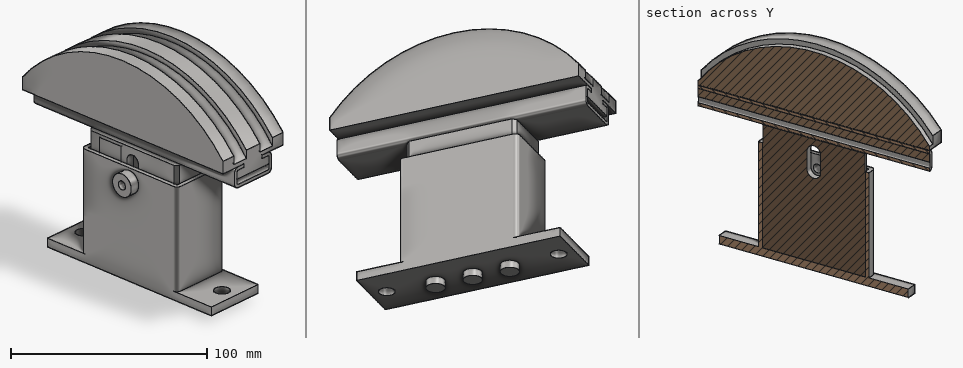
import cadquery as cq
import math


foot_length = 114.4
foot_thickness = 5.0
foot_hole_diameter = 8.5
foot_hole_spacing = 96.6
wall = 2.5
cavity_length = 61.9
cavity_width = 30.0
housing_length = cavity_length + 2 * wall
housing_width = cavity_width + 2 * wall
housing_top = 64.8

peg_diameter = 10.0
peg_height = 4.0
peg_pitch = 20.9
peg_count = 3

boss_diameter = 13.0
boss_hole_diameter = 4.9
boss_height = 56.8
boss_past_shoe = 0.5

plunger_top = 75.2
plunger_chamfer = 2.0
slot_width = 8.0
slot_depth = 5.0
slot_top = 71.1

plate_width = 15.3
plate_height = plate_width
plate_thickness = 1.0
plate_center_x = -15.7
plate_top_margin = 1.8
plate_top = plunger_top - plate_top_margin

rail_width = 27.7
rail_height = 12.0
rail_wall = 2.0
rail_outer_radius = 3.0
rail_inner_radius = rail_outer_radius - rail_wall
rail_opening = 13.6
rail_top = plunger_top + rail_height

shoe_length = 140
shoe_width = 45.0
shoe_height = 40.6
shoe_radius = 90.0
groove_depth = 3.0
groove_inner_edge = 5.0
groove_outer_edge = 14.4
tee_depth = 6.9
shoe_top = rail_top + shoe_height
arc_center_z = shoe_top - shoe_radius

housing_front = -housing_width / 2
plunger_front = -cavity_width / 2
boss_front = -shoe_width / 2 - boss_past_shoe


def box(length, width, bottom, top):
    """Box centred on the Z axis between two heights."""
    return cq.Workplane("XY").workplane(offset=bottom).rect(length, width).extrude(top - bottom)


def make_housing():
    tower = box(housing_length, housing_width, foot_thickness, housing_top).edges("|Z").fillet(wall)
    foot = box(foot_length, housing_width, 0, foot_thickness)
    foot_holes = (
        cq.Workplane("XY")
        .pushPoints([(-foot_hole_spacing / 2, 0), (foot_hole_spacing / 2, 0)])
        .circle(foot_hole_diameter / 2)
        .extrude(foot_thickness)
    )
    pegs = (
        cq.Workplane("XY")
        .rarray(peg_pitch, 1.4, peg_count, 1)
        .circle(peg_diameter / 2)
        .extrude(-peg_height)
    )
    boss_plane = cq.Workplane("XZ", origin=(0, boss_front, boss_height))
    boss = boss_plane.circle(boss_diameter / 2).extrude(boss_front - housing_front)
    boss_hole = boss_plane.circle(boss_hole_diameter / 2).extrude(boss_front - plunger_front)
    cavity = box(cavity_length, cavity_width, foot_thickness, housing_top)
    return tower.union(foot).union(pegs).union(boss).cut(foot_holes).cut(cavity).cut(boss_hole)


def make_scale_plate():
    return cq.Workplane("XY").box(plate_width, plate_thickness, plate_height).translate(
        (plate_center_x, plunger_front + plate_thickness / 2, plate_top - plate_height / 2)
    )


def make_plunger(scale_plate):
    block = box(cavity_length, cavity_width, foot_thickness, plunger_top)
    block = block.edges("|Z").chamfer(plunger_chamfer)
    slot_bottom = boss_height - slot_width / 2
    slot = (
        cq.Workplane("XZ", origin=(0, plunger_front, (slot_top + slot_bottom) / 2))
        .slot2D(slot_top - slot_bottom, slot_width, 90)
        .extrude(-slot_depth)
    )
    return block.cut(slot).cut(scale_plate)


def along_shoe(width, bottom, top):
    """Bar of the full shoe length, centred on Y = 0."""
    return box(shoe_length, width, bottom, top)


def make_rail_bore():
    bore_width = rail_width - 2 * rail_wall
    bore = along_shoe(bore_width, plunger_top + rail_wall, rail_top - rail_wall)
    return bore.edges("|X").fillet(rail_inner_radius)


def make_rail():
    tube = along_shoe(rail_width, plunger_top, rail_top).edges("|X").fillet(rail_outer_radius)
    opening = along_shoe(rail_opening, rail_top - rail_wall, rail_top)
    return tube.cut(make_rail_bore()).cut(opening)


def make_dome(radius, width, center_y):
    """Segment of a disc with its ends cut square at the shoe length."""
    half_length = shoe_length / 2
    end_z = arc_center_z + math.sqrt(radius**2 - half_length**2)
    return (
        cq.Workplane("XZ", origin=(0, center_y + width / 2, 0))
        .moveTo(-half_length, rail_top)
        .lineTo(-half_length, end_z)
        .threePointArc((0, arc_center_z + radius), (half_length, end_z))
        .lineTo(half_length, rail_top)
        .close()
        .extrude(width)
    )


def make_shoe():
    shoe = make_dome(shoe_radius, shoe_width, 0)
    groove_width = groove_outer_edge - groove_inner_edge
    groove_offset = (groove_outer_edge + groove_inner_edge) / 2
    for center_y in (-groove_offset, groove_offset):
        outer = make_dome(shoe_radius, groove_width, center_y)
        floor = make_dome(shoe_radius - groove_depth, groove_width, center_y)
        shoe = shoe.cut(outer.cut(floor))
    neck = along_shoe(rail_opening, rail_top - tee_depth, rail_top)
    tee = make_rail_bore().intersect(along_shoe(rail_width, rail_top - tee_depth, rail_top))
    return shoe.union(neck).union(tee)


housing = make_housing()
scale_plate = make_scale_plate()
plunger = make_plunger(scale_plate)
rail = make_rail()
shoe = make_shoe()

result = cq.Compound.makeCompound(
    [housing.val(), scale_plate.val(), plunger.val(), rail.val(), shoe.val()]
)